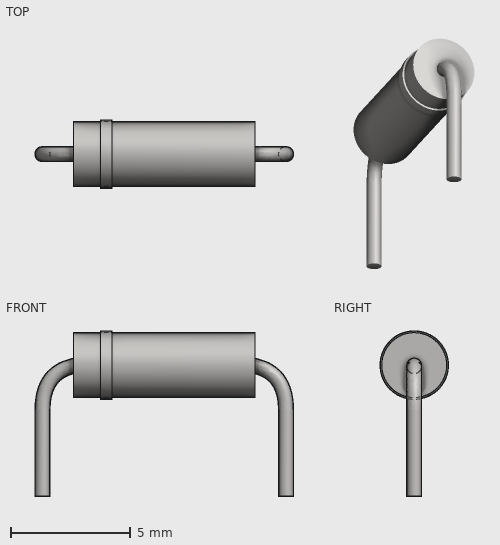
import cadquery as cq

overall_length = 10.82
overall_height = 6.92

body_length = 7.61
body_diameter = 2.72
face_x = -body_length / 2

band_diameter = 2.87
band_width = 0.48
band_offset = 1.14

lead_diameter = 0.63
lead_x = -(overall_length - lead_diameter) / 2
lead_bottom_z = band_diameter / 2 - overall_height
leg_length = 3.6
bend_start_z = lead_bottom_z + leg_length

bend_rise = 1.41
bend_handle_reach = 0.77
bend_handle_z = -0.13
bend_overrun = 0.2
bend_end_z = 0.01


def make_body():
    return cq.Workplane("YZ", origin=(face_x, 0, 0)).circle(body_diameter / 2).extrude(body_length)


def make_band():
    return (
        cq.Workplane("YZ", origin=(face_x + band_offset, 0, 0))
        .circle(band_diameter / 2)
        .circle(body_diameter / 2)
        .extrude(band_width)
    )


def make_lead():
    """Lead on the -X side: straight leg and bend, trimmed flush with the end face."""
    leg = (
        cq.Workplane("XY", origin=(lead_x, 0, lead_bottom_z))
        .circle(lead_diameter / 2)
        .extrude(leg_length)
    )
    bend_path = (
        cq.Workplane("XZ")
        .moveTo(lead_x, bend_start_z)
        .bezier([
            (lead_x, bend_start_z),
            (lead_x, bend_start_z + bend_rise),
            (lead_x + bend_handle_reach, bend_handle_z),
            (face_x + bend_overrun, bend_end_z),
        ])
    )
    bend = (
        cq.Workplane("XY", origin=(lead_x, 0, bend_start_z))
        .circle(lead_diameter / 2)
        .sweep(bend_path)
    )
    return leg.union(bend, clean=False).cut(make_body()).solids()


body = make_body()
band = make_band()
leads = [make_lead().rotate((0, 0, 0), (0, 0, 1), angle) for angle in (0, 180)]

result = cq.Compound.makeCompound([body.val(), band.val(), *[lead.val() for lead in leads]])